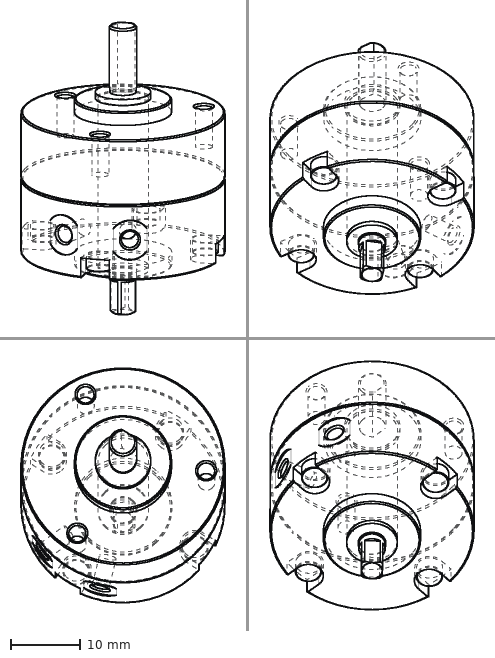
import cadquery as cq
import math

TOTAL_HEIGHT = 43.0
SQUARE_TOP_Z = 5.0
BARREL_BOTTOM_Z = 6.3
LOWER_BOSS_Z = 7.0
BODY_BOTTOM_Z = 9.0
GROOVE_Z = 20.2
BODY_TOP_Z = 30.0
UPPER_BOSS_Z = 32.05
COLLAR_TOP_Z = 33.02
COLLAR_GAP = 0.1

BODY_DIAMETER = 29.4
BOSS_DIAMETER = 14.0
EDGE_CHAMFER = 0.2
GROOVE_DEPTH = 0.2
GROOVE_WIDTH = 0.4

HOLE_CIRCLE_RADIUS = 12.0
THREAD_HOLE_DIAMETER = 2.45
COUNTERSINK_DIAMETER = 3.0
MOUNTING_HOLE_DEPTH = 6.0
MOUNTING_HOLE_ANGLES = (30, 150, 270)

PORT_ANGLES = (-110, -70)
PORT_Z = 15.0
SPOT_FACE_DIAMETER = 5.95
SPOT_FACE_DEPTH = 0.198
PORT_DEPTH = 4.8

NOTCH_WIDTH = 4.3
NOTCH_HEIGHT = 3.0
SCREW_HEAD_DIAMETER = 3.8
SCREW_HEAD_HEIGHT = 2.0
SCREW_HEAD_CHAMFER = 0.108
SCREW_CIRCLE_RADIUS = 12.35
NOTCH_ANGLES = (0, 90, 180, 270)

SHAFT_DIAMETER = 4.0
NECK_DIAMETER = 3.8
COLLAR_DIAMETER = 8.0
BARREL_DIAMETER = 7.3
NECK_LENGTH = 0.5
NECK_TAPER_LENGTH = 0.4
LOWER_LAND_LENGTH = 0.15
LOWER_TAPER_LENGTH = 0.108
UPPER_TIP_CHAMFER = 0.3
LOWER_TIP_CHAMFER_WIDTH = 0.45
LOWER_TIP_CHAMFER_HEIGHT = 0.25
D_FLAT_OFFSET = 1.5
SQUARE_ACROSS_FLATS = 3.0

BODY_RADIUS = BODY_DIAMETER / 2
BOSS_RADIUS = BOSS_DIAMETER / 2
BARREL_RADIUS = BARREL_DIAMETER / 2
SHAFT_RADIUS = SHAFT_DIAMETER / 2
NECK_RADIUS = NECK_DIAMETER / 2


def revolve_about_z(profile):
    """Revolve a closed (radius, z) outline a full turn about the Z axis."""
    return cq.Workplane("XZ").polyline(profile).close().revolve(360, (0, 0, 0), (0, 1, 0))


def make_housing_blank():
    """Chamfered drum with a V groove around it, a boss on each end and a bore for the shaft barrel."""
    return revolve_about_z([
        (BARREL_RADIUS, LOWER_BOSS_Z),
        (BOSS_RADIUS - EDGE_CHAMFER, LOWER_BOSS_Z),
        (BOSS_RADIUS, LOWER_BOSS_Z + EDGE_CHAMFER),
        (BOSS_RADIUS, BODY_BOTTOM_Z),
        (BODY_RADIUS - EDGE_CHAMFER, BODY_BOTTOM_Z),
        (BODY_RADIUS, BODY_BOTTOM_Z + EDGE_CHAMFER),
        (BODY_RADIUS, GROOVE_Z - GROOVE_WIDTH / 2),
        (BODY_RADIUS - GROOVE_DEPTH, GROOVE_Z),
        (BODY_RADIUS, GROOVE_Z + GROOVE_WIDTH / 2),
        (BODY_RADIUS, BODY_TOP_Z - EDGE_CHAMFER),
        (BODY_RADIUS - EDGE_CHAMFER, BODY_TOP_Z),
        (BOSS_RADIUS, BODY_TOP_Z),
        (BOSS_RADIUS, UPPER_BOSS_Z - EDGE_CHAMFER),
        (BOSS_RADIUS - EDGE_CHAMFER, UPPER_BOSS_Z),
        (BARREL_RADIUS, UPPER_BOSS_Z),
    ])


def make_thread_hole(depth):
    """Cutter for a blind, countersunk hole that runs down from the origin along -Z."""
    hole_radius = THREAD_HOLE_DIAMETER / 2
    countersink_radius = COUNTERSINK_DIAMETER / 2
    return revolve_about_z([
        (0, 0),
        (countersink_radius, 0),
        (hole_radius, hole_radius - countersink_radius),
        (hole_radius, -depth),
        (0, -depth),
    ])


def make_mounting_hole(angle):
    """Cutter for one mounting hole in the top face of the drum."""
    hole = make_thread_hole(MOUNTING_HOLE_DEPTH)
    hole = hole.translate((HOLE_CIRCLE_RADIUS, 0, BODY_TOP_Z))
    return hole.rotate((0, 0, 0), (0, 0, 1), angle)


def make_port(angle):
    """Cutter for a spot face on the drum wall with a countersunk hole in its middle."""
    spot_face = cq.Workplane("XY").circle(SPOT_FACE_DIAMETER / 2).extrude(2 * SPOT_FACE_DEPTH)
    port = spot_face.union(make_thread_hole(PORT_DEPTH))
    port = port.rotate((0, 0, 0), (0, 1, 0), 90)
    port = port.translate((BODY_RADIUS - SPOT_FACE_DEPTH, 0, PORT_Z))
    return port.rotate((0, 0, 0), (0, 0, 1), angle)


def make_notch(angle):
    """Cutter for a round-ended rim notch that leaves the screw head standing in it."""
    rounded_end = (
        cq.Workplane("XY")
        .center(SCREW_CIRCLE_RADIUS, 0)
        .circle(NOTCH_WIDTH / 2)
        .extrude(NOTCH_HEIGHT)
    )
    open_length = BODY_RADIUS - SCREW_CIRCLE_RADIUS
    open_end = (
        cq.Workplane("XY")
        .center(SCREW_CIRCLE_RADIUS + open_length / 2, 0)
        .rect(open_length, NOTCH_WIDTH)
        .extrude(NOTCH_HEIGHT)
    )
    screw_head = (
        cq.Workplane("XY", origin=(0, 0, NOTCH_HEIGHT - SCREW_HEAD_HEIGHT))
        .center(SCREW_CIRCLE_RADIUS, 0)
        .circle(SCREW_HEAD_DIAMETER / 2)
        .extrude(SCREW_HEAD_HEIGHT)
        .faces("<Z")
        .chamfer(SCREW_HEAD_CHAMFER)
    )
    notch = rounded_end.union(open_end).cut(screw_head)
    return notch.translate((0, 0, BODY_BOTTOM_Z)).rotate((0, 0, 0), (0, 0, 1), angle)


def make_housing():
    """Drum with its mounting holes, ports and screw-head notches."""
    housing = make_housing_blank()
    for angle in MOUNTING_HOLE_ANGLES:
        housing = housing.cut(make_mounting_hole(angle))
    for angle in PORT_ANGLES:
        housing = housing.cut(make_port(angle))
    for angle in NOTCH_ANGLES:
        housing = housing.cut(make_notch(angle))
    return housing


def make_shaft_blank():
    """Barrel that fills the bore, a collar just above it, and a slimmer necked shaft end on each side."""
    collar_radius = COLLAR_DIAMETER / 2
    collar_base_z = UPPER_BOSS_Z + COLLAR_GAP
    lower_land_z = BARREL_BOTTOM_Z - LOWER_LAND_LENGTH
    neck_top_z = COLLAR_TOP_Z + NECK_LENGTH
    return revolve_about_z([
        (0, 0),
        (NECK_RADIUS - LOWER_TIP_CHAMFER_WIDTH, 0),
        (NECK_RADIUS, LOWER_TIP_CHAMFER_HEIGHT),
        (NECK_RADIUS, lower_land_z - LOWER_TAPER_LENGTH),
        (SHAFT_RADIUS, lower_land_z),
        (SHAFT_RADIUS, BARREL_BOTTOM_Z),
        (BARREL_RADIUS, BARREL_BOTTOM_Z),
        (BARREL_RADIUS, collar_base_z),
        (collar_radius, collar_base_z),
        (collar_radius, COLLAR_TOP_Z),
        (NECK_RADIUS, COLLAR_TOP_Z),
        (NECK_RADIUS, neck_top_z),
        (SHAFT_RADIUS, neck_top_z + NECK_TAPER_LENGTH),
        (SHAFT_RADIUS, TOTAL_HEIGHT - UPPER_TIP_CHAMFER),
        (SHAFT_RADIUS - UPPER_TIP_CHAMFER, TOTAL_HEIGHT),
        (0, TOTAL_HEIGHT),
    ])


def make_d_flat():
    """Cutter for the flat on the +Y side of the upper shaft end."""
    return cq.Workplane("XY").box(
        SHAFT_DIAMETER, SHAFT_DIAMETER, TOTAL_HEIGHT - COLLAR_TOP_Z, centered=(True, False, False)
    ).translate((0, D_FLAT_OFFSET, COLLAR_TOP_Z))


def make_square_end():
    """Cutter that trims the lower shaft end to a square with its corners on the X and Y axes."""
    return (
        cq.Workplane("XY")
        .circle(SHAFT_DIAMETER)
        .polygon(4, SQUARE_ACROSS_FLATS * math.sqrt(2))
        .extrude(SQUARE_TOP_Z)
    )


housing = make_housing()
shaft = make_shaft_blank().cut(make_d_flat()).cut(make_square_end())

result = cq.Compound.makeCompound([housing.val(), shaft.val()])